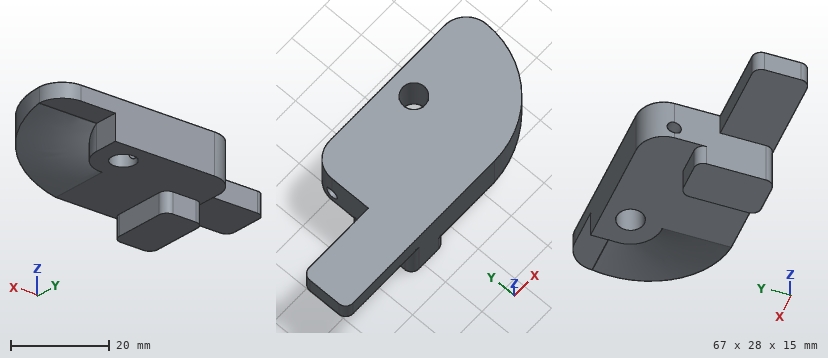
import cadquery as cq
import math

length = 67.0
width = 28.0
height = 15.0

layer = height / 3
body_bottom = layer
tail_bottom = 2 * layer

body_start = 20.0
tail_width = 12.0
small_radius = 2.0
nose_radius = 22.0
pivot_x = length - nose_radius
pivot_y = nose_radius
back_radius = width - pivot_y

foot_length = 10.0
foot_width = 16.95

pivot_diameter = 6.0
side_hole_diameter = 3.0
side_hole_z = 8.0

hub_radius = 7.0
ramp_rise = 6.35
cutter_overhang = 3.35
cutter_overlap = 0.1


def rounded_block(x_size, y_size, z_size, x_start, z_start, radius, edges="|Z"):
    """Block with its front face at Y = 0 and the chosen upright edges rounded."""
    block = cq.Workplane("XY").box(x_size, y_size, z_size, centered=False)
    return block.edges(edges).fillet(radius).translate((x_start, 0, z_start))


def make_tail():
    """Thin bar running from the free end to the pivot."""
    return rounded_block(pivot_x, tail_width, layer, 0, tail_bottom, small_radius, "|Z and <X")


def make_body():
    """Wide plate with a large round nose at the front right."""
    diagonal = math.sqrt(0.5)
    return (
        cq.Workplane("XY", origin=(0, 0, body_bottom))
        .moveTo(body_start + small_radius, 0)
        .lineTo(pivot_x, 0)
        .threePointArc(
            (pivot_x + nose_radius * diagonal, pivot_y - nose_radius * diagonal),
            (length, pivot_y),
        )
        .radiusArc((length - back_radius, width), -back_radius)
        .lineTo(body_start + back_radius, width)
        .radiusArc((body_start, pivot_y), -back_radius)
        .lineTo(body_start, small_radius)
        .radiusArc((body_start + small_radius, 0), -small_radius)
        .close()
        .extrude(height - body_bottom)
    )


def make_foot():
    """Rounded block standing below the start of the body."""
    return rounded_block(foot_length, foot_width, body_bottom, body_start, 0, small_radius)


def make_ramp_cutter():
    """Quarter-turn helical sweep that lifts the underside of the nose."""
    outer_radius = nose_radius + cutter_overhang
    section_depth = ramp_rise + cutter_overhang
    helix = cq.Wire.makeHelix(4 * ramp_rise, ramp_rise, hub_radius)
    return (
        cq.Workplane("XZ")
        .moveTo(hub_radius, 0)
        .lineTo(outer_radius, 0)
        .lineTo(outer_radius, -section_depth)
        .lineTo(hub_radius, -section_depth)
        .close()
        .sweep(cq.Workplane(obj=helix), isFrenet=True)
        .rotate((0, 0, 0), (0, 0, 1), -90)
        .translate((pivot_x, pivot_y, body_bottom))
    )


def make_runout_cutter():
    """Flat recess behind the ramp, level with its top and ending beside the hub."""
    return cq.Workplane("XY").box(
        nose_radius - hub_radius + cutter_overhang,
        back_radius + cutter_overlap + cutter_overhang,
        ramp_rise + cutter_overhang,
        centered=False,
    ).translate((pivot_x + hub_radius, pivot_y - cutter_overlap, body_bottom - cutter_overhang))


def make_pivot_hole():
    """Upright hole through the full thickness."""
    return cq.Workplane("XY").center(pivot_x, pivot_y).circle(pivot_diameter / 2).extrude(height)


def make_side_hole():
    """Hole along X from the step of the body to the pivot hole."""
    return (
        cq.Workplane("YZ", origin=(body_start, pivot_y, side_hole_z))
        .circle(side_hole_diameter / 2)
        .extrude(pivot_x - body_start)
    )


result = (
    make_body()
    .union(make_tail())
    .union(make_foot())
    .cut(make_ramp_cutter())
    .cut(make_runout_cutter())
    .cut(make_pivot_hole())
    .cut(make_side_hole())
)